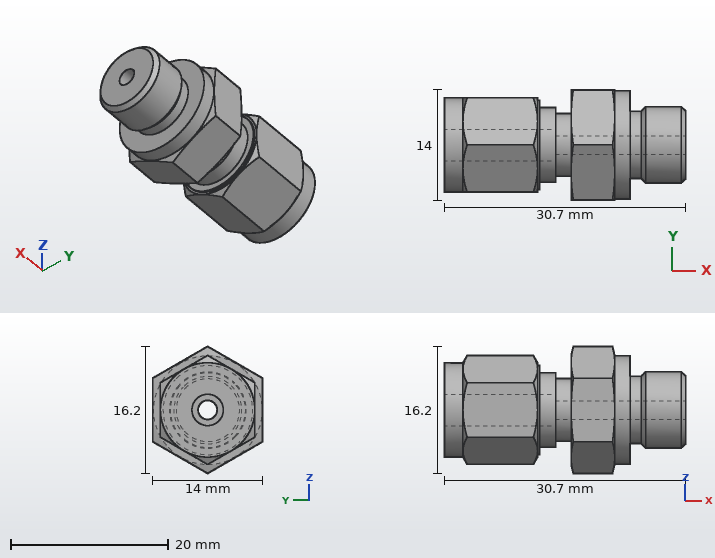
import cadquery as cq
import math


nut_hex_start = 2.35
nut_hex_end = 11.85
nut_ring_end = 12.13
shoulder_end = 14.18
body_hex_start = 16.12
body_hex_end = 21.65
flange_end = 23.6
relief_end = 25.02
total_length = 30.7

nut_flats = 12.0
body_flats = 14.0

nut_ring_diameter = 11.35
shoulder_diameter = 9.52
neck_diameter = 8.0
flange_diameter = 13.8
relief_diameter = 8.6
stud_diameter = 9.73

nut_cone_angle = 30.0
body_cone_angle = 14.0

bore_diameter = 2.4
tube_socket_diameter = 4.0
tube_socket_depth = shoulder_end

stud_chamfer = (stud_diameter - relief_diameter) / 2
stud_tip_length = 0.6


def cylinder(diameter, start, end):
    """Round section on the X axis between two stations."""
    return cq.Workplane("YZ", origin=(start, 0, 0)).circle(diameter / 2).extrude(end - start)


def revolve_profile(points):
    """Solid of revolution about X from (x, radius) points."""
    return cq.Workplane("XY").polyline(points).close().revolve(360, (0, 0, 0), (1, 0, 0))


def chamfered_hexagon(flats, start, end, cone_angle):
    """Hexagon with corners up and down, its corners cut by a cone at both ends."""
    corner_radius = flats / math.sqrt(3)
    flat_radius = flats / 2
    cone_length = (corner_radius - flat_radius) * math.tan(math.radians(cone_angle))
    prism = (
        cq.Workplane("YZ", origin=(start, 0, 0))
        .polygon(6, 2 * corner_radius)
        .extrude(end - start)
        .rotate((0, 0, 0), (1, 0, 0), 90)
    )
    envelope = revolve_profile([
        (start, 0),
        (start, flat_radius),
        (start + cone_length, corner_radius),
        (end - cone_length, corner_radius),
        (end, flat_radius),
        (end, 0),
    ])
    return prism.intersect(envelope)


def compression_nut():
    collar = cylinder(nut_flats, 0, nut_hex_start)
    hexagon = chamfered_hexagon(nut_flats, nut_hex_start, nut_hex_end, nut_cone_angle)
    ring = cylinder(nut_ring_diameter, nut_hex_end, nut_ring_end)
    return collar.union(hexagon).union(ring)


def fitting_body():
    shoulder = cylinder(shoulder_diameter, nut_ring_end, shoulder_end)
    neck = cylinder(neck_diameter, shoulder_end, body_hex_start)
    hexagon = chamfered_hexagon(body_flats, body_hex_start, body_hex_end, body_cone_angle)
    flange = cylinder(flange_diameter, body_hex_end, flange_end)
    return shoulder.union(neck).union(hexagon).union(flange)


def threaded_stud():
    """Plain stud behind a relief groove, coned at both ends."""
    relief_radius = relief_diameter / 2
    stud_radius = stud_diameter / 2
    return revolve_profile([
        (flange_end, 0),
        (flange_end, relief_radius),
        (relief_end, relief_radius),
        (relief_end + stud_chamfer, stud_radius),
        (total_length - stud_tip_length, stud_radius),
        (total_length, relief_radius),
        (total_length, 0),
    ])


through_bore = cylinder(bore_diameter, 0, total_length)
tube_socket = cylinder(tube_socket_diameter, 0, tube_socket_depth)

fitting = compression_nut().union(fitting_body()).union(threaded_stud())
result = fitting.cut(through_bore).cut(tube_socket)